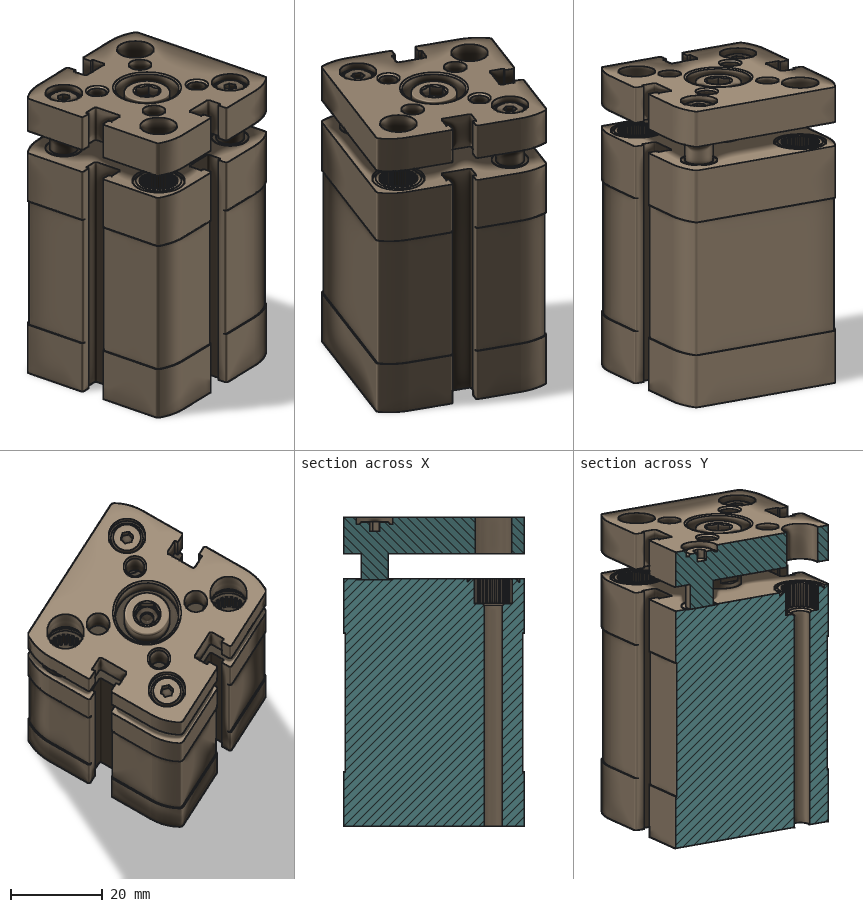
import cadquery as cq
import math

TOTAL_HEIGHT = 67.5
PLATE_THICKNESS = 8.0
PLATE_GAP = 5.4
CAP_HEIGHT = 11.9
PLATE_BOTTOM = TOTAL_HEIGHT - PLATE_THICKNESS
HOUSING_TOP = PLATE_BOTTOM - PLATE_GAP

WIDTH = 39.5
FLANK_RADIUS = 12.5
FLANK_START = 13.0
CORNER_FILLET = 1.0
BARREL_INSET = 0.3

SLOT_MOUTH = 5.4
SLOT_WIDTH = 6.95
SLOT_LIP = 2.3
SLOT_DEPTH = 5.7
SLOT_FILLET = 0.5
SLOT_TURNS = (-90, 0, 90)

PIN_OFFSET = 12.95
MOUNT_OFFSET = 7.75
PIN_PLACES = [(PIN_OFFSET, PIN_OFFSET), (-PIN_OFFSET, -PIN_OFFSET)]
SCREW_PLACES = [(-PIN_OFFSET, PIN_OFFSET), (PIN_OFFSET, -PIN_OFFSET)]
TAPPED_PLACES = [(MOUNT_OFFSET, MOUNT_OFFSET), (-MOUNT_OFFSET, -MOUNT_OFFSET)]
PLAIN_PLACES = [(-MOUNT_OFFSET, MOUNT_OFFSET), (MOUNT_OFFSET, -MOUNT_OFFSET)]

ACCESS_DIAMETER = 8.0
MOUNT_DIAMETER = 5.0
TAPPED_DIAMETER = 4.1
RECESS_DIAMETER = 14.0
RECESS_DEPTH = 5.0
RECESS_RIM_WIDTH = 0.5
RECESS_RIM_DEPTH = 0.3

ROD_DIAMETER = 10.0
ROD_TOP = TOTAL_HEIGHT - 0.75
ROD_FILLET = 0.5
FLAT_WIDTH = 9.0
FLAT_HEIGHT = 4.1
FLAT_RUNOUT = 0.3
ROD_SOCKET_MOUTH = 6.0
ROD_HEX = 5.0
ROD_SINK_DEPTH = 0.3
ROD_HEX_DEPTH = 2.5
ROD_HEX_TURN = 0.0
ROD_DRILL_DIAMETER = 3.0
ROD_DRILL_LENGTH = 1.0
DRILL_POINT_ANGLE = 118.0

PIN_DIAMETER = 6.2
PIN_HEAD_DIAMETER = 7.0
PIN_FACE_DIAMETER = 6.0
PIN_TOP = TOTAL_HEIGHT - 1.0
PIN_HEX = 2.5
PIN_HEX_DEPTH = 2.0
PIN_HEX_TURN = 15.0
BUSH_DIAMETER = 8.0
BUSH_DEPTH = 0.15

SCREW_DIAMETER = 4.1
SEAT_MOUTH = 5.0
SEAT_DEPTH = 5.4
SPLINE_TIP_DIAMETER = 7.5
SPLINE_ROOT_DIAMETER = 8.4
SPLINE_COUNT = 24
COLLAR_DIAMETER = 11.5
COLLAR_FACE_DIAMETER = 10.0


def cylinder(place, bottom, top, diameter):
    x, y = place
    return cq.Workplane("XY", origin=(x, y, bottom)).circle(diameter / 2).extrude(top - bottom)


def cone(place, bottom, bottom_diameter, top, top_diameter):
    base = cq.Vector(*place, bottom)
    return cq.Workplane(cq.Solid.makeCone(bottom_diameter / 2, top_diameter / 2, top - bottom, base))


def hexagon(place, bottom, top, across_flats, turn):
    """Hexagonal prism; a turn of zero puts two of its corners on the X axis."""
    x, y = place
    across_corners = across_flats / math.cos(math.radians(30))
    prism = cq.Workplane("XY").polygon(6, across_corners).extrude(top - bottom)
    return prism.rotate((0, 0, 0), (0, 0, 1), turn).translate((x, y, bottom))


def t_slot(bottom, top, side):
    """T-slot cutter opening toward -Y through a face at Y = -side, with a rounded mouth."""
    floor_y = SLOT_DEPTH - WIDTH / 2
    lip_y = SLOT_LIP - WIDTH / 2
    half_mouth = SLOT_MOUTH / 2
    arc_rise = SLOT_FILLET * (1 - math.sqrt(0.5))
    wide = (
        cq.Workplane("XY", origin=(0, (floor_y + lip_y) / 2, bottom))
        .rect(SLOT_WIDTH, floor_y - lip_y)
        .extrude(top - bottom)
        .edges("|Z and >Y")
        .fillet(SLOT_FILLET)
    )
    mouth = (
        cq.Workplane("XY", origin=(0, 0, bottom))
        .moveTo(-half_mouth, lip_y)
        .lineTo(half_mouth, lip_y)
        .lineTo(half_mouth, SLOT_FILLET - side)
        .threePointArc((half_mouth + arc_rise, arc_rise - side), (half_mouth + SLOT_FILLET, -side))
        .lineTo(-half_mouth - SLOT_FILLET, -side)
        .threePointArc((-half_mouth - arc_rise, arc_rise - side), (-half_mouth, SLOT_FILLET - side))
        .close()
        .extrude(top - bottom)
    )
    return wide.union(mouth)


def slotted_block(bottom, top, inset):
    """Block between two heights with the shared outline, moved inward by inset, and its T-slots."""
    side = WIDTH / 2 - inset
    radius = FLANK_RADIUS - inset

    def arc_x(y):
        return side - radius + math.sqrt(radius**2 - (y - FLANK_START) ** 2)

    end_x = arc_x(side)
    mid_y = (FLANK_START + side) / 2
    mid_x = arc_x(mid_y)
    block = (
        cq.Workplane("XY", origin=(0, 0, bottom))
        .moveTo(side, -FLANK_START)
        .lineTo(side, FLANK_START)
        .threePointArc((mid_x, mid_y), (end_x, side))
        .lineTo(-end_x, side)
        .threePointArc((-mid_x, mid_y), (-side, FLANK_START))
        .lineTo(-side, -FLANK_START)
        .threePointArc((-mid_x, -mid_y), (-end_x, -side))
        .lineTo(end_x, -side)
        .threePointArc((mid_x, -mid_y), (side, -FLANK_START))
        .close()
        .extrude(top - bottom)
        .edges("|Z and (<Y or >Y)")
        .fillet(CORNER_FILLET - inset)
    )
    slot = t_slot(bottom, top, side)
    for turn in SLOT_TURNS:
        block = block.cut(slot.rotate((0, 0, 0), (0, 0, 1), turn))
    return block


def spline_socket(place, bottom, top):
    """Toothed socket cutter: equal teeth and grooves with straight flanks."""
    x, y = place
    pitch = 2 * math.pi / SPLINE_COUNT
    tip = SPLINE_TIP_DIAMETER / 2
    root = SPLINE_ROOT_DIAMETER / 2
    points = []
    for groove in range(SPLINE_COUNT):
        start = (groove + 0.25) * pitch
        end = (groove + 0.75) * pitch
        for radius, angle in ((tip, start), (root, start), (root, end), (tip, end)):
            points.append((radius * math.cos(angle), radius * math.sin(angle)))
    return cq.Workplane("XY", origin=(x, y, bottom)).polyline(points).close().extrude(top - bottom)


def screw_hole(place):
    """Cutter for a through hole with a countersunk seat at the floor of a toothed socket."""
    seat = HOUSING_TOP - SEAT_DEPTH
    sink_depth = (SEAT_MOUTH - SCREW_DIAMETER) / 2
    hole = cylinder(place, 0, seat, SCREW_DIAMETER)
    sink = cone(place, seat - sink_depth, SCREW_DIAMETER, seat, SEAT_MOUTH)
    return hole.union(sink).union(spline_socket(place, seat, HOUSING_TOP))


def collar_groove(place):
    """Cutter for the V-groove between a bevelled collar and the straight wall around it."""
    bottom = HOUSING_TOP - (COLLAR_DIAMETER - COLLAR_FACE_DIAMETER) / 2
    collar = cone(place, bottom, COLLAR_DIAMETER, HOUSING_TOP, COLLAR_FACE_DIAMETER)
    return cylinder(place, bottom, HOUSING_TOP, COLLAR_DIAMETER).cut(collar)


def make_housing():
    """Barrel between two slightly wider end caps."""
    cap_bottom = HOUSING_TOP - CAP_HEIGHT
    body = slotted_block(0, CAP_HEIGHT, 0)
    body = body.union(slotted_block(CAP_HEIGHT, cap_bottom, BARREL_INSET))
    body = body.union(slotted_block(cap_bottom, HOUSING_TOP, 0))
    for place in SCREW_PLACES:
        body = body.cut(screw_hole(place)).cut(collar_groove(place))
    for place in PIN_PLACES:
        body = body.cut(cylinder(place, HOUSING_TOP - BUSH_DEPTH, HOUSING_TOP, BUSH_DIAMETER))
    return body


def yoke_plate():
    """Plate with its mounting holes, access holes and central recess."""
    plate = slotted_block(PLATE_BOTTOM, TOTAL_HEIGHT, 0)
    for place in SCREW_PLACES:
        plate = plate.cut(cylinder(place, PLATE_BOTTOM, TOTAL_HEIGHT, ACCESS_DIAMETER))
    for place in PLAIN_PLACES:
        plate = plate.cut(cylinder(place, PLATE_BOTTOM, TOTAL_HEIGHT, MOUNT_DIAMETER))
    sink_bottom = TOTAL_HEIGHT - (MOUNT_DIAMETER - TAPPED_DIAMETER) / 2
    for place in TAPPED_PLACES:
        plate = plate.cut(cylinder(place, PLATE_BOTTOM, TOTAL_HEIGHT, TAPPED_DIAMETER))
        plate = plate.cut(cone(place, sink_bottom, TAPPED_DIAMETER, TOTAL_HEIGHT, MOUNT_DIAMETER))
    rim_bottom = TOTAL_HEIGHT - RECESS_RIM_DEPTH
    rim_diameter = RECESS_DIAMETER + 2 * RECESS_RIM_WIDTH
    plate = plate.cut(cylinder((0, 0), TOTAL_HEIGHT - RECESS_DEPTH, TOTAL_HEIGHT, RECESS_DIAMETER))
    return plate.cut(cone((0, 0), rim_bottom, RECESS_DIAMETER, TOTAL_HEIGHT, rim_diameter))


def rod():
    """Piston rod with a rounded top edge and two wrench flats below the plate."""
    reach = ROD_DIAMETER / 2
    flat_bottom = PLATE_BOTTOM - FLAT_HEIGHT
    flat = (
        cq.Workplane("YZ", origin=(-reach, 0, 0))
        .moveTo(FLAT_WIDTH / 2, PLATE_BOTTOM)
        .lineTo(FLAT_WIDTH / 2, flat_bottom)
        .lineTo(reach, flat_bottom - FLAT_RUNOUT)
        .lineTo(reach, PLATE_BOTTOM)
        .close()
        .extrude(ROD_DIAMETER)
    )
    body = cylinder((0, 0), HOUSING_TOP, ROD_TOP, ROD_DIAMETER).faces(">Z").edges().fillet(ROD_FILLET)
    return body.cut(flat).cut(flat.mirror("XZ"))


def rod_socket():
    """Cutter for the hexagon socket in the rod, ending in a conical floor and a drilled point."""
    center = (0, 0)
    point_slope = 1 / math.tan(math.radians(DRILL_POINT_ANGLE / 2))
    hex_floor = ROD_TOP - ROD_HEX_DEPTH
    drill_top = hex_floor - (ROD_HEX - ROD_DRILL_DIAMETER) / 2 * point_slope
    drill_bottom = drill_top - ROD_DRILL_LENGTH
    point = drill_bottom - ROD_DRILL_DIAMETER / 2 * point_slope
    socket = hexagon(center, hex_floor, ROD_TOP, ROD_HEX, ROD_HEX_TURN)
    socket = socket.union(cone(center, ROD_TOP - ROD_SINK_DEPTH, ROD_HEX, ROD_TOP, ROD_SOCKET_MOUTH))
    socket = socket.union(cone(center, drill_top, ROD_DRILL_DIAMETER, hex_floor, ROD_HEX))
    socket = socket.union(cylinder(center, drill_bottom, drill_top, ROD_DRILL_DIAMETER))
    return socket.union(cone(center, point, 0, drill_bottom, ROD_DRILL_DIAMETER))


def make_yoke():
    """Plate, piston rod and two guide pins that move as one piece."""
    body = yoke_plate().union(rod()).cut(rod_socket())
    head_bottom = PIN_TOP - (PIN_HEAD_DIAMETER - PIN_FACE_DIAMETER) / 2
    for place in PIN_PLACES:
        body = body.cut(cylinder(place, head_bottom, TOTAL_HEIGHT, ACCESS_DIAMETER))
        body = body.union(cone(place, head_bottom, PIN_HEAD_DIAMETER, PIN_TOP, PIN_FACE_DIAMETER))
        body = body.union(cylinder(place, HOUSING_TOP - BUSH_DEPTH, PLATE_BOTTOM, PIN_DIAMETER))
        body = body.cut(hexagon(place, PIN_TOP - PIN_HEX_DEPTH, PIN_TOP, PIN_HEX, PIN_HEX_TURN))
    return body


housing = make_housing()
yoke = make_yoke()
result = cq.Compound.makeCompound([housing.val(), yoke.val()])